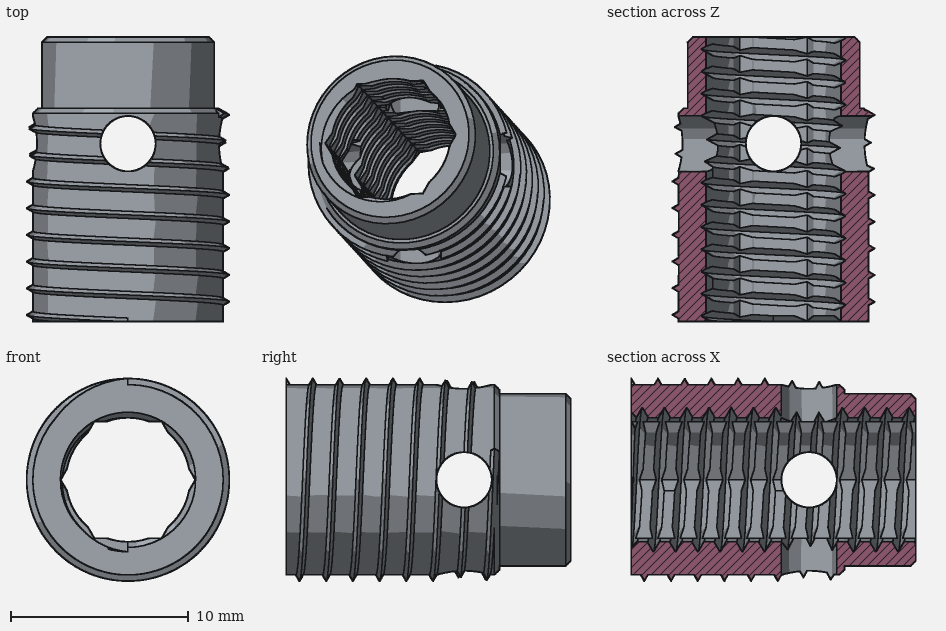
import cadquery as cq
import math


total_length = 16.0
collar_length = 4.0
shank_length = total_length - collar_length
shank_radius = 5.35
collar_radius = 4.85
edge_chamfer = 0.3

bore_radius = 3.48
bore_mouth_radius = 3.8
hex_across_flats = 6.55
hex_across_corners = hex_across_flats / math.cos(math.pi / 6)

cross_hole_diameter = 3.1
cross_hole_position = 10.0

flank_slope = math.tan(math.radians(30))
outer_pitch = 1.5
outer_crest_radius = 5.7
outer_turns = (shank_length - edge_chamfer) / outer_pitch
outer_start_angle = -90
inner_pitch = 1.25
inner_root_radius = 4.05
inner_turns = math.ceil(total_length / inner_pitch) + 1
inner_start_angle = 90
thread_overlap = 0.15


def make_body():
    collar = (
        cq.Workplane("XY")
        .circle(collar_radius)
        .extrude(total_length)
        .faces(">Z")
        .chamfer(edge_chamfer)
    )
    shank = (
        cq.Workplane("XY")
        .circle(shank_radius)
        .extrude(shank_length)
        .faces(">Z")
        .edges()
        .chamfer(edge_chamfer)
    )
    return shank.union(collar)


def make_helical_vee(tip_radius, base_radius, pitch, turns, start_angle, left_handed):
    """Helical wedge, pointing outwards, with its tip starting at Z = 0."""
    path = cq.Wire.makeHelix(pitch, pitch * turns, base_radius, lefthand=left_handed)
    half_width = (tip_radius - base_radius) * flank_slope
    wedge = (
        cq.Workplane("XZ")
        .moveTo(base_radius, -half_width)
        .lineTo(tip_radius, 0)
        .lineTo(base_radius, half_width)
        .close()
        .sweep(cq.Workplane(obj=path), isFrenet=True)
    )
    return wedge.rotate((0, 0, 0), (0, 0, 1), start_angle)


def clip_to_length(thread, length):
    """Trim the thread ends flat at Z = 0 and Z = length."""
    zone = cq.Workplane("XY").circle(2 * outer_crest_radius).extrude(length)
    return thread.intersect(zone)


def make_outer_thread():
    base_radius = shank_radius - thread_overlap
    ridge = make_helical_vee(
        outer_crest_radius, base_radius, outer_pitch, outer_turns, outer_start_angle, left_handed=True
    )
    return clip_to_length(ridge, shank_length)


def make_bore():
    return cq.Workplane("XY").circle(bore_radius).extrude(total_length)


def make_inner_thread():
    base_radius = bore_radius - thread_overlap
    groove = make_helical_vee(
        inner_root_radius, base_radius, inner_pitch, inner_turns, inner_start_angle, left_handed=False
    )
    return clip_to_length(groove, total_length)


def make_bore_mouth():
    """45 degree countersink at the shank end of the bore."""
    return (
        cq.Workplane("XY")
        .circle(bore_mouth_radius)
        .workplane(offset=bore_mouth_radius - bore_radius)
        .circle(bore_radius)
        .loft()
    )


def make_hexagon():
    """Hexagonal drive through the whole bore, with two corners on the X axis."""
    return cq.Workplane("XY").polygon(6, hex_across_corners).extrude(total_length)


def make_cross_hole(plane):
    return (
        cq.Workplane(plane)
        .center(0, cross_hole_position)
        .circle(cross_hole_diameter / 2)
        .extrude(2 * outer_crest_radius, both=True)
    )


bushing = make_body().union(make_outer_thread())
bushing = bushing.cut(make_bore()).cut(make_inner_thread())
bushing = bushing.cut(make_bore_mouth()).cut(make_hexagon())
for plane in ("XZ", "YZ"):
    bushing = bushing.cut(make_cross_hole(plane))

result = bushing.rotate((0, 0, 0), (1, 0, 0), -90)